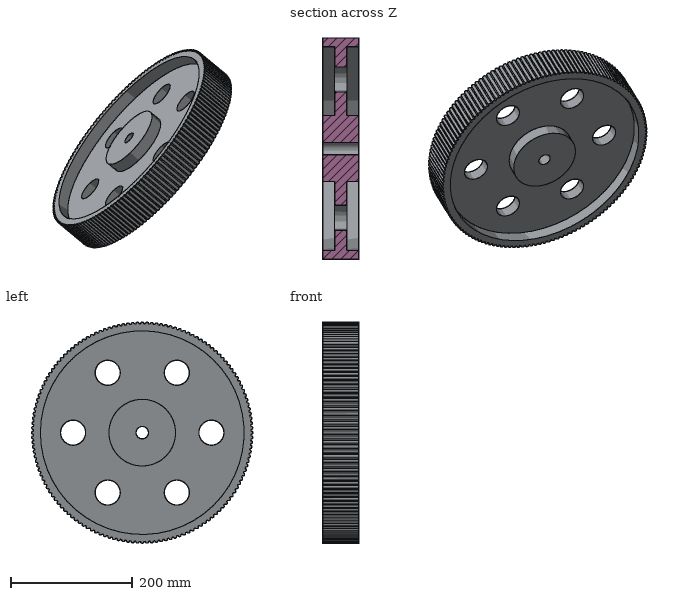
import cadquery as cq
import math

outer_diameter = 365.3
face_width = 60.0
tooth_count = 144
tooth_radius = 2.75

rim_inner_diameter = 336.0
hub_diameter = 110.0
web_thickness = 20.0
recess_depth = (face_width - web_thickness) / 2

bore_diameter = 20.0
web_hole_count = 6
web_hole_diameter = 41.0
web_hole_circle_diameter = 228.3

tip_radius = outer_diameter / 2
root_radius = tip_radius - tooth_radius
tooth_pitch_angle = 2 * math.pi / tooth_count
tooth_half_angle = math.asin(tooth_radius / root_radius)


def polar(radius, angle):
    """Point in the YZ plane at a distance and angle from the wheel axis."""
    return (radius * math.cos(angle), radius * math.sin(angle))


def toothed_blank():
    """Solid disc centred on x = 0 with half-round teeth joined by root arcs."""
    outline = cq.Workplane("YZ").workplane(offset=-face_width / 2)
    outline = outline.moveTo(*polar(root_radius, -tooth_half_angle))
    for tooth in range(tooth_count):
        middle = tooth * tooth_pitch_angle
        tooth_end = polar(root_radius, middle + tooth_half_angle)
        root_middle = polar(root_radius, middle + tooth_pitch_angle / 2)
        next_tooth_start = polar(root_radius, middle + tooth_pitch_angle - tooth_half_angle)
        outline = outline.threePointArc(polar(tip_radius, middle), tooth_end)
        outline = outline.threePointArc(root_middle, next_tooth_start)
    return outline.close().extrude(face_width)


def recess(start_x):
    """Ring between hub and rim, one recess deep, starting at the given x."""
    return (
        cq.Workplane("YZ")
        .workplane(offset=start_x)
        .circle(rim_inner_diameter / 2)
        .circle(hub_diameter / 2)
        .extrude(recess_depth)
    )


def through_holes():
    """Central bore and the ring of web holes, as full-width cylinders."""
    plane = cq.Workplane("YZ").workplane(offset=-face_width / 2)
    bore = plane.circle(bore_diameter / 2).extrude(face_width)
    web_holes = (
        plane.polarArray(web_hole_circle_diameter / 2, 0, 360, web_hole_count)
        .circle(web_hole_diameter / 2)
        .extrude(face_width)
    )
    return bore.add(web_holes).combine()


result = (
    toothed_blank()
    .cut(recess(-face_width / 2))
    .cut(recess(web_thickness / 2))
    .cut(through_holes())
)